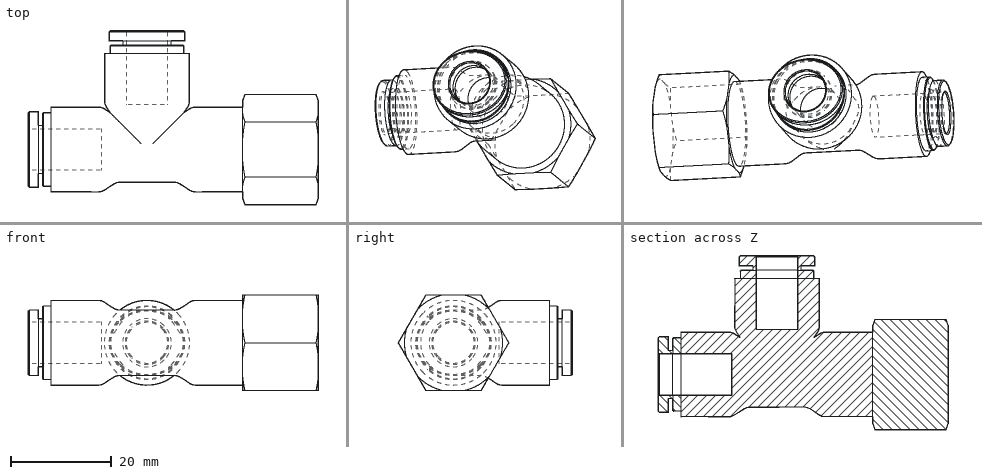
import cadquery as cq
import math


TOTAL_LENGTH = 57.6
TOTAL_WIDTH = 34.55
NUT_ACROSS_FLATS = 19.0
NUT_CORNER_RADIUS = NUT_ACROSS_FLATS / math.sqrt(3)
PORT_REACH = TOTAL_WIDTH - NUT_CORNER_RADIUS
NUT_LENGTH = 15.05
NUT_INNER_END = TOTAL_LENGTH - PORT_REACH - NUT_LENGTH

BARREL_DIAMETER = 16.9
NECK_DIAMETER = 13.0
NECK_END = 6.05
BARREL_START = 9.0
CONE_BLEND_RADIUS = 2.0

TUBE_BORE_DIAMETER = 8.2
BORE_FLOOR = BARREL_START

FLANGE_THICKNESS = 2.0
FLANGE_WIDTH = 15.05
FLANGE_HEIGHT = NECK_DIAMETER
FLANGE_CHAMFER = 0.25
STEM_DIAMETER = 9.6
STEM_LENGTH = 0.85
BORE_CHAMFER = 0.25

COLLAR_DIAMETER = 14.7
COLLAR_LENGTH = 1.6
COLLAR_CHAMFER = 0.2

COLLAR_FACE = PORT_REACH - FLANGE_THICKNESS - STEM_LENGTH
BARREL_FACE = COLLAR_FACE - COLLAR_LENGTH

NUT_FACE_DIAMETER = 19.45
NUT_CHAMFER_LENGTH = 0.45

RUN_PORT = cq.Plane(origin=(0, 0, 0), xDir=(0, 1, 0), normal=(-1, 0, 0))
BRANCH_PORT = cq.Plane(origin=(0, 0, 0), xDir=(1, 0, 0), normal=(0, 1, 0))
NUT_ARM = cq.Plane(origin=(0, 0, 0), xDir=(0, 1, 0), normal=(1, 0, 0))
PORTS = (RUN_PORT, BRANCH_PORT)


def disc(frame, diameter, start, end):
    """Solid cylinder between two stations of an arm."""
    return cq.Workplane(frame).workplane(offset=start).circle(diameter / 2).extrude(end - start)


def make_arm(frame, end):
    """Neck, blended cone and barrel of one arm, starting at the origin.

    The arm is revolved about Z, where its two blend circles are picked by station, and then
    moved onto its frame.
    """
    neck_radius = NECK_DIAMETER / 2
    barrel_radius = BARREL_DIAMETER / 2
    blend_zone = cq.selectors.BoxSelector(
        (-BARREL_DIAMETER, -BARREL_DIAMETER, NECK_END / 2),
        (BARREL_DIAMETER, BARREL_DIAMETER, (BARREL_START + end) / 2),
    )
    arm = (
        cq.Workplane("XZ")
        .lineTo(neck_radius, 0)
        .lineTo(neck_radius, NECK_END)
        .lineTo(barrel_radius, BARREL_START)
        .lineTo(barrel_radius, end)
        .lineTo(0, end)
        .close()
        .revolve(360, (0, 0, 0), (0, 1, 0))
        .edges("%CIRCLE")
        .edges(blend_zone)
        .fillet(CONE_BLEND_RADIUS)
    )
    return cq.Workplane(arm.val().moved(cq.Location(frame)))


def make_body():
    """Tee body with a blind tube bore in each port."""
    body = make_arm(NUT_ARM, NUT_INNER_END)
    for port in PORTS:
        body = body.union(make_arm(port, BARREL_FACE))
    for port in PORTS:
        body = body.cut(disc(port, TUBE_BORE_DIAMETER, BORE_FLOOR, BARREL_FACE))
    return body


def make_collar(port):
    """Ring seated on the end face of a barrel."""
    ring = disc(port, COLLAR_DIAMETER, BARREL_FACE, COLLAR_FACE)
    ring = ring.faces(cq.selectors.DirectionMinMaxSelector(port.zDir)).chamfer(COLLAR_CHAMFER)
    return ring.cut(disc(port, TUBE_BORE_DIAMETER, BARREL_FACE, COLLAR_FACE))


def make_sleeve(port):
    """Release sleeve: oval flange and round stem around the tube bore."""
    outer_face = cq.selectors.DirectionMinMaxSelector(port.zDir)
    flange_start = PORT_REACH - FLANGE_THICKNESS
    flange = (
        cq.Workplane(port)
        .workplane(offset=flange_start)
        .ellipse(FLANGE_WIDTH / 2, FLANGE_HEIGHT / 2)
        .extrude(FLANGE_THICKNESS)
        .faces(outer_face)
        .chamfer(FLANGE_CHAMFER)
    )
    stem = disc(port, STEM_DIAMETER, COLLAR_FACE, flange_start)
    sleeve = flange.union(stem).cut(disc(port, TUBE_BORE_DIAMETER, COLLAR_FACE, PORT_REACH))
    return sleeve.faces(outer_face).edges("%CIRCLE").chamfer(BORE_CHAMFER)


def make_nut():
    """Hexagonal nut with two flats square to Z and conical corner chamfers at both ends."""
    face_radius = NUT_FACE_DIAMETER / 2
    nut_end = NUT_INNER_END + NUT_LENGTH
    hexagon = (
        cq.Workplane(NUT_ARM)
        .workplane(offset=NUT_INNER_END)
        .polygon(6, 2 * NUT_CORNER_RADIUS)
        .extrude(NUT_LENGTH)
    )
    chamfer_envelope = (
        cq.Workplane("XY")
        .moveTo(NUT_INNER_END, 0)
        .lineTo(NUT_INNER_END, face_radius)
        .lineTo(NUT_INNER_END + NUT_CHAMFER_LENGTH, NUT_CORNER_RADIUS)
        .lineTo(nut_end - NUT_CHAMFER_LENGTH, NUT_CORNER_RADIUS)
        .lineTo(nut_end, face_radius)
        .lineTo(nut_end, 0)
        .close()
        .revolve(360, (0, 0, 0), (1, 0, 0))
    )
    return hexagon.intersect(chamfer_envelope)


body = make_body()
collars = [make_collar(port) for port in PORTS]
sleeves = [make_sleeve(port) for port in PORTS]
nut = make_nut()

result = cq.Compound.makeCompound(
    [
        body.val(),
        *[collar.val() for collar in collars],
        *[sleeve.val() for sleeve in sleeves],
        nut.val(),
    ]
)